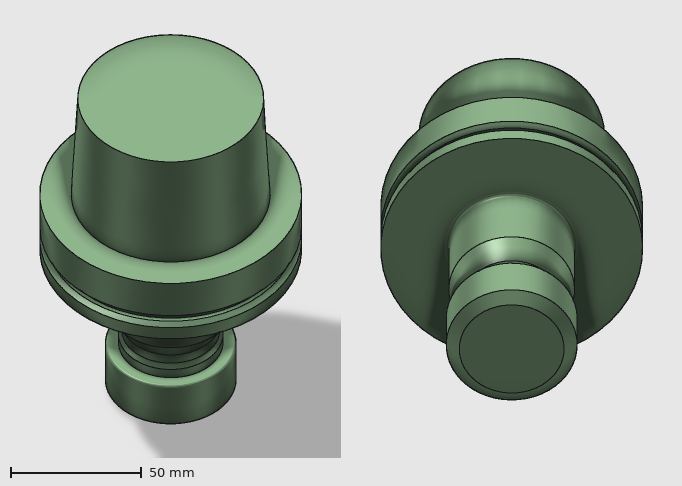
import cadquery as cq
import math


taper_height = 50.0
taper_base_diameter = 76.0
taper_rate = 1 / 10
taper_top_diameter = taper_base_diameter - taper_rate * taper_height

flange_diameter = 100.0
flange_thickness = 29.0
groove_floor_diameter = 92.0
groove_width = 3.75
groove_center_depth = 20.0
groove_bevel_depth = 2.25
groove_bevel_angle = 30.0

neck_diameter = 48.0
neck_end_depth = 58.0
neck_root_radius = 1.75

waist_diameter = 37.5
waist_cone_length = 8.75
spigot_diameter = 40.0
spigot_cone_angle = 30.0
spigot_length = 4.25

nut_diameter = 50.0
nut_length = 22.4
nut_top_radius = 1.0
nut_nose_diameter = 40.0
nut_nose_angle = 60.0
total_height = 149.85


def cone_height(large_diameter, small_diameter, half_angle):
    """Axial length of a cone with the given half angle from the axis."""
    return (large_diameter - small_diameter) / 2 / math.tan(math.radians(half_angle))


def turned_solid(points):
    """Revolve (radius, z) points about the Z axis."""
    return cq.Workplane("XZ").polyline(points).close().revolve(360, (0, 0), (0, 1))


def make_shank():
    return turned_solid([
        (0, 0),
        (taper_base_diameter / 2, 0),
        (taper_top_diameter / 2, taper_height),
        (0, taper_height),
    ])


def make_flange():
    outer = flange_diameter / 2
    floor = groove_floor_diameter / 2
    bevel_inner = outer - groove_bevel_depth
    half_width = groove_width / 2
    bevel_height = groove_bevel_depth * math.tan(math.radians(groove_bevel_angle))
    half_mouth = half_width + bevel_height
    return turned_solid([
        (0, 0),
        (outer, 0),
        (outer, half_mouth - groove_center_depth),
        (bevel_inner, half_width - groove_center_depth),
        (floor, half_width - groove_center_depth),
        (floor, -half_width - groove_center_depth),
        (bevel_inner, -half_width - groove_center_depth),
        (outer, -half_mouth - groove_center_depth),
        (outer, -flange_thickness),
        (0, -flange_thickness),
    ])


def make_lower_body():
    """Neck, waist, spigot and nut as one stepped profile."""
    neck = neck_diameter / 2
    waist = waist_diameter / 2
    spigot = spigot_diameter / 2
    nut = nut_diameter / 2
    z_bottom = taper_height - total_height
    z_nut_top = z_bottom + nut_length
    z_spigot_top = z_nut_top + spigot_length
    z_waist_bottom = z_spigot_top + cone_height(spigot_diameter, waist_diameter, spigot_cone_angle)
    z_waist_top = -neck_end_depth - waist_cone_length
    z_nose = z_bottom + cone_height(nut_diameter, nut_nose_diameter, nut_nose_angle)
    z_root = -flange_thickness - neck_root_radius
    profile = (
        cq.Workplane("XZ")
        .moveTo(0, -flange_thickness)
        .lineTo(neck + neck_root_radius, -flange_thickness)
        .radiusArc((neck, z_root), -neck_root_radius)
        .lineTo(neck, -neck_end_depth)
        .lineTo(waist, z_waist_top)
        .lineTo(waist, z_waist_bottom)
        .lineTo(spigot, z_spigot_top)
        .lineTo(spigot, z_nut_top)
        .lineTo(nut - nut_top_radius, z_nut_top)
        .radiusArc((nut, z_nut_top - nut_top_radius), nut_top_radius)
        .lineTo(nut, z_nose)
        .lineTo(nut_nose_diameter / 2, z_bottom)
        .lineTo(0, z_bottom)
        .close()
    )
    return profile.revolve(360, (0, 0), (0, 1))


result = make_shank().union(make_flange()).union(make_lower_body())